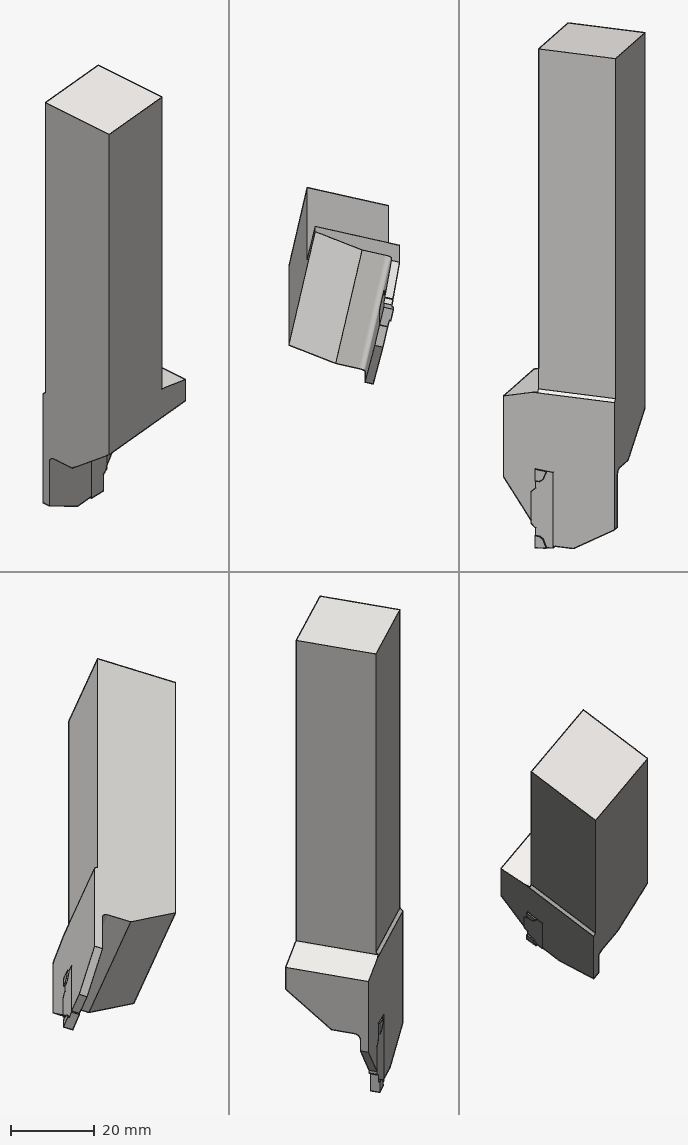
import cadquery as cq


total_width = 21.1
total_depth = 28.4
total_height = 126.4

shank_width = 20.0
shank_depth = 19.7
shank_face_x = total_width - shank_width
head_face_x = 0.4
step_size = shank_face_x - head_face_x
step_top_z = 40.0
head_shoulder_z = 39.4
head_shoulder_y = 20.5
head_back_top_z = 37.4
head_back_bottom_z = 16.9
side_chamfer_top_z = 31.1
side_chamfer_end_x = 9.6
head_bottom_z = 21.6

blade_thickness = 2.0
blade_back_x = head_face_x + blade_thickness
blade_root_radius = 1.5
blade_bottom_z = 0.9
blade_slope_end_y = 17.3
nose_start_y = 10.5
nose_top_z = 7.0

insert_length = 20.0
insert_mid_z = insert_length / 2
insert_front_y = 15.7
insert_back_y = 20.2
insert_end_relief = 0.4
front_half_length = insert_mid_z - insert_end_relief
rib_back_y = 21.4
rib_half_length = 4.0
rib_slope_half_length = 5.0

tip_length = 3.0
tip_end_front_y = 17.3
tip_end_relief = (
    insert_end_relief * (insert_back_y - tip_end_front_y) / (insert_back_y - insert_front_y)
)
tip_corner_y = 18.2
tip_corner_inset = 2.4
tip_inner_y = 19.1


def make_holder():
    """Intersect the side-to-side outline with the front-to-back outline."""
    width_outline = (
        cq.Workplane("XZ")
        .moveTo(head_face_x, 0)
        .lineTo(head_face_x, step_top_z - step_size)
        .lineTo(shank_face_x, step_top_z)
        .lineTo(shank_face_x, total_height)
        .lineTo(total_width, total_height)
        .lineTo(total_width, side_chamfer_top_z)
        .lineTo(side_chamfer_end_x, head_bottom_z)
        .lineTo(blade_back_x + blade_root_radius, head_bottom_z)
        .radiusArc((blade_back_x, head_bottom_z - blade_root_radius), -blade_root_radius)
        .lineTo(blade_back_x, 0)
        .close()
        .extrude(-total_depth)
    )
    depth_outline = (
        cq.Workplane("YZ")
        .moveTo(0, nose_top_z)
        .lineTo(0, total_height)
        .lineTo(shank_depth, total_height)
        .lineTo(shank_depth, head_shoulder_z)
        .lineTo(head_shoulder_y, head_shoulder_z)
        .lineTo(total_depth, head_back_top_z)
        .lineTo(total_depth, head_back_bottom_z)
        .lineTo(blade_slope_end_y, blade_bottom_z)
        .lineTo(nose_start_y, blade_bottom_z)
        .close()
        .extrude(total_width)
    )
    return width_outline.intersect(depth_outline)


def make_insert_body():
    """Flat strip through the blade, with sloping end faces and a locating rib on its back edge."""
    return (
        cq.Workplane("YZ", origin=(head_face_x, 0, insert_mid_z))
        .moveTo(insert_front_y, -front_half_length)
        .lineTo(insert_front_y, front_half_length)
        .lineTo(insert_back_y, insert_mid_z)
        .lineTo(insert_back_y, rib_slope_half_length)
        .lineTo(rib_back_y, rib_half_length)
        .lineTo(rib_back_y, -rib_half_length)
        .lineTo(insert_back_y, -rib_slope_half_length)
        .lineTo(insert_back_y, -insert_mid_z)
        .close()
        .extrude(blade_thickness)
    )


def make_tip(end_direction):
    """Raised cutting tip at the upper (+1) or lower (-1) end of the insert."""
    end_z = end_direction * insert_mid_z
    corner_z = end_direction * (insert_mid_z - tip_corner_inset)
    inner_z = end_direction * (insert_mid_z - tip_length)
    return (
        cq.Workplane("YZ", origin=(0, 0, insert_mid_z))
        .moveTo(insert_back_y, end_z)
        .lineTo(tip_end_front_y, end_z - end_direction * tip_end_relief)
        .lineTo(tip_corner_y, corner_z)
        .lineTo(tip_inner_y, inner_z)
        .lineTo(insert_back_y, inner_z)
        .close()
        .extrude(head_face_x)
    )


insert_body = make_insert_body()

holder = make_holder().cut(insert_body)

cutting_insert = insert_body
for end_direction in (-1, 1):
    cutting_insert = cutting_insert.union(make_tip(end_direction))

result = cq.Compound.makeCompound([holder.val(), cutting_insert.val()])